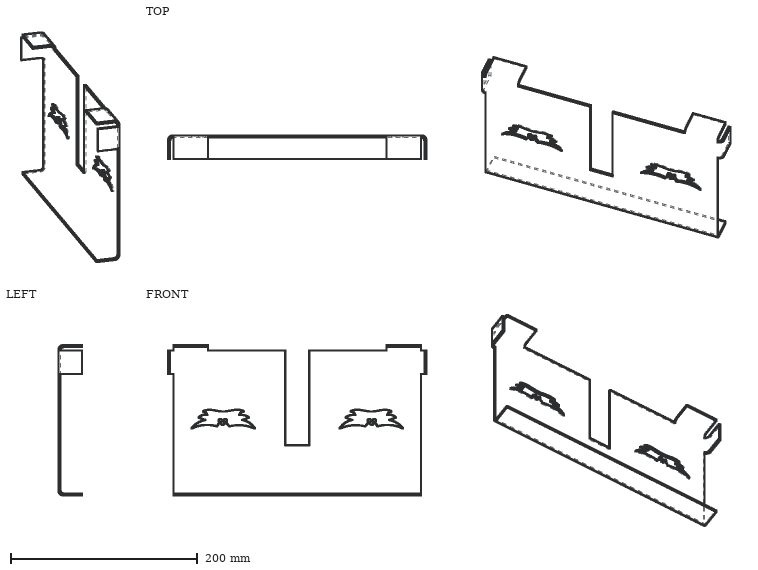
import cadquery as cq
import math

overall_width = 276.5
overall_depth = 25.5
overall_height = 161.0
thickness = 2.2
bend_radius = 5.5
hook_length = 37.3
ear_height = 25.5
slot_width = 25.5
slot_depth = 101.5
bat_offset = 79.5
bat_tip_height = 71.5

plate_half_width = overall_width / 2 - bend_radius
plate_width = 2 * plate_half_width
plate_top = overall_height - bend_radius
plate_bottom = bend_radius
cut_depth = 4 * thickness


def flange(corner, outward, run, length):
    """Quarter bend and straight leg folded toward -Y from a plate edge.

    The profile starts at a back corner of the plate; outward points away from the edge and
    run points along it. run x outward must be -Y, the direction of the straight leg.
    """
    inner_radius = bend_radius - thickness
    diagonal = math.sqrt(0.5)
    outer_mid = (bend_radius * diagonal, bend_radius * (1 - diagonal))
    inner_mid = (inner_radius * diagonal, bend_radius - inner_radius * diagonal)
    return (
        cq.Workplane(cq.Plane(corner, xDir=outward, normal=run))
        .threePointArc(outer_mid, (bend_radius, bend_radius))
        .lineTo(bend_radius, overall_depth)
        .lineTo(inner_radius, overall_depth)
        .lineTo(inner_radius, bend_radius)
        .threePointArc(inner_mid, (0, thickness))
        .close()
        .extrude(length)
    )


def bat_cutter():
    """Bat silhouette through the left half of the plate.

    Points are relative to the middle of the line joining the two wing tips.
    """
    plane = cq.Plane((-bat_offset, thickness, bat_tip_height), xDir=(1, 0, 0), normal=(0, -1, 0))
    return (
        cq.Workplane(plane)
        .moveTo(-34.0, 0)
        .threePointArc((-27.0, 6.0), (-18.8, 9.0))
        .lineTo(-26.3, 12.0)
        .threePointArc((-21.8, 14.5), (-17.0, 14.5))
        .threePointArc((-18.3, 17.0), (-21.5, 18.3))
        .spline([(-13.0, 20.0), (-2.8, 18.3), (2.8, 18.3), (13.0, 20.0), (22.5, 18.3)], includeCurrent=True)
        .threePointArc((18.5, 17.0), (17.1, 14.5))
        .threePointArc((22.7, 14.0), (27.7, 12.0))
        .lineTo(20.5, 9.0)
        .threePointArc((28.5, 5.8), (34.0, 0))
        .threePointArc((20.5, 3.5), (6.5, 2.5))
        .lineTo(3.0, 6.5)
        .threePointArc((2.2, 10.2), (1.5, 6.5))
        .threePointArc((-0.5, 4.1), (-2.2, 7.0))
        .threePointArc((-3.0, 10.2), (-4.0, 7.0))
        .lineTo(-6.5, 2.5)
        .threePointArc((-20.5, 4.0), (-34.0, 0))
        .close()
        .extrude(cut_depth)
    )


def both_sides(shape):
    return shape.union(shape.mirror("YZ"))


plate = cq.Workplane("XY").box(
    plate_width, thickness, plate_top - plate_bottom, centered=(True, False, False)
).translate((0, -thickness, plate_bottom))

slot = cq.Workplane("XY").box(
    slot_width, cut_depth, slot_depth, centered=(True, True, False)
).translate((0, 0, plate_top - slot_depth))

bottom_ledge = flange((plate_half_width, 0, plate_bottom), (0, 0, -1), (-1, 0, 0), plate_width)
left_hook = flange((-plate_half_width, 0, plate_top), (0, 0, 1), (1, 0, 0), hook_length)
left_ear = flange((-plate_half_width, 0, plate_top - ear_height), (-1, 0, 0), (0, 0, 1), ear_height)

result = (
    plate
    .union(bottom_ledge)
    .union(both_sides(left_hook))
    .union(both_sides(left_ear))
    .cut(slot)
    .cut(both_sides(bat_cutter()))
)